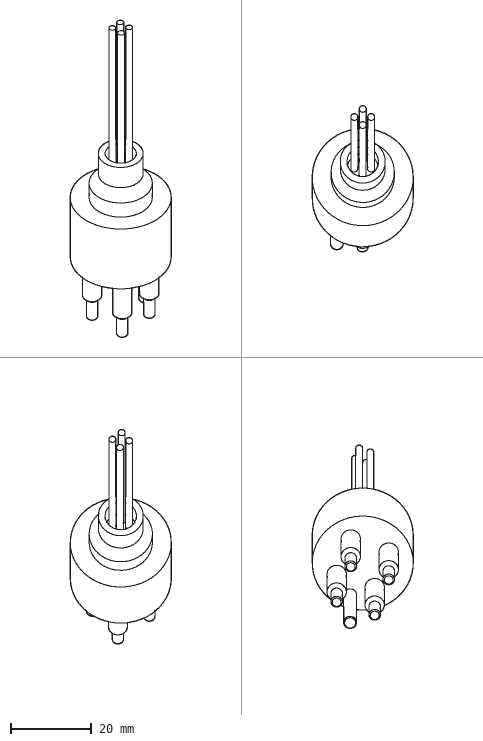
import cadquery as cq

BODY_BOTTOM = 18.95
BODY_TOP = 38.0
COLLAR_TOP = 42.5
NECK_BOTTOM = 45.5
NECK_TOP = 52.0
WIRE_TOP = 92.0

BODY_DIAMETER = 25.0
COLLAR_DIAMETER = 15.6
NECK_DIAMETER = 11.1
BORE_DIAMETER = 7.7
BORE_FLOOR = NECK_BOTTOM

WIRE_DIAMETER = 1.75
WIRE_SPACING = 2.9

PIN_DIAMETER = 4.8
PIN_END_DIAMETER = 2.85
PIN_SPACING = 10.0
PIN_SHOULDER = 7.0
PIN_SHOULDER_TAPER = 1.0
PIN_CHAMFER_WIDTH = 0.32

INDEX_DIAMETER = 3.2
INDEX_OFFSET = 9.0
INDEX_CHAMFER_WIDTH = 0.23

TIP_CHAMFER_HEIGHT = 0.4


def square_pattern(spacing):
    """Corner points of a square centred on the axis."""
    half = spacing / 2
    return [(x, y) for x in (-half, half) for y in (-half, half)]


def revolved(profile):
    """Solid of revolution about Z from (radius, height) points."""
    return cq.Workplane("XZ").polyline(profile).close().revolve(360, (0, 0), (0, 1))


def make_housing():
    """Body, collar and conical step up to the bored neck."""
    body_radius = BODY_DIAMETER / 2
    collar_radius = COLLAR_DIAMETER / 2
    neck_radius = NECK_DIAMETER / 2
    bore_radius = BORE_DIAMETER / 2
    return revolved([
        (0, BODY_BOTTOM),
        (body_radius, BODY_BOTTOM),
        (body_radius, BODY_TOP),
        (collar_radius, BODY_TOP),
        (collar_radius, COLLAR_TOP),
        (neck_radius, NECK_BOTTOM),
        (neck_radius, NECK_TOP),
        (bore_radius, NECK_TOP),
        (bore_radius, BORE_FLOOR),
        (0, BORE_FLOOR),
    ])


def make_tip(diameter, chamfer_width, top):
    """Round pin end standing on z = 0, chamfered at its tip."""
    radius = diameter / 2
    return revolved([
        (0, 0),
        (radius - chamfer_width, 0),
        (radius, TIP_CHAMFER_HEIGHT),
        (radius, top),
        (0, top),
    ])


def make_contact_pin():
    """Stepped pin with a conical shoulder above its thinner end."""
    pin_radius = PIN_DIAMETER / 2
    taper_bottom = PIN_SHOULDER - PIN_SHOULDER_TAPER
    shank = revolved([
        (0, taper_bottom),
        (PIN_END_DIAMETER / 2, taper_bottom),
        (pin_radius, PIN_SHOULDER),
        (pin_radius, BODY_BOTTOM),
        (0, BODY_BOTTOM),
    ])
    return shank.union(make_tip(PIN_END_DIAMETER, PIN_CHAMFER_WIDTH, taper_bottom))


def make_wires():
    """Four straight wires rising from the floor of the bore."""
    return (
        cq.Workplane("XY", origin=(0, 0, BORE_FLOOR))
        .pushPoints(square_pattern(WIRE_SPACING))
        .circle(WIRE_DIAMETER / 2)
        .extrude(WIRE_TOP - BORE_FLOOR)
    )


result = make_housing().union(make_wires())

contact_pin = make_contact_pin()
for x, y in square_pattern(PIN_SPACING):
    result = result.union(contact_pin.translate((x, y, 0)))

index_pin = make_tip(INDEX_DIAMETER, INDEX_CHAMFER_WIDTH, BODY_BOTTOM)
result = result.union(index_pin.translate((0, INDEX_OFFSET, 0)))